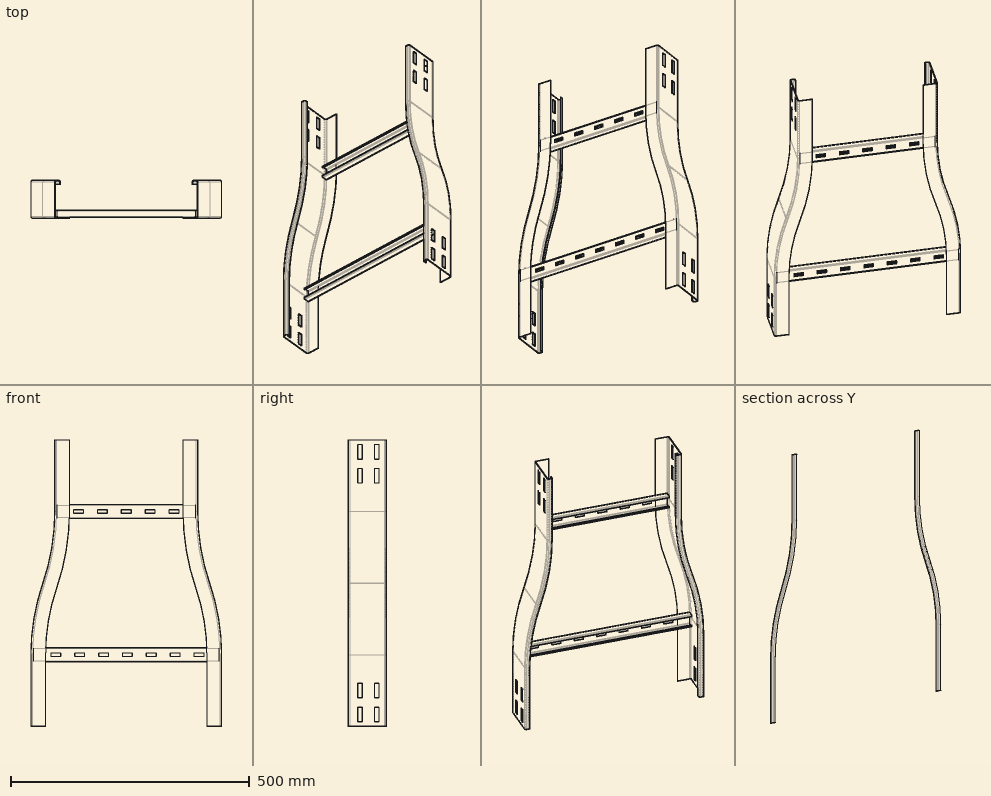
import cadquery as cq

height = 600.0
bottom_width = height * 2 / 3
top_width = height / 2
depth = bottom_width / 5

sheet = 2.0
rail_bend = 4.0
rung_bend = 2.15

front_flange = 31.0
rear_lip = 12.0
hook = 9.0

bend_start = height / 4
bend_middle = height / 2
bend_end = height - bend_start
inset = (bottom_width - top_width) / 2

web_slot_length = 30.0
web_slot_width = 9.0
web_slot_rows = (-15.0, 20.0)
web_slot_end = height / 24
web_slot_pitch = height / 12

rung_height = 30.0
rung_depth = 15.0
rung_lip = 5.0
rung_end_gap = 5.2
rung_slot_pitch = height / 12
rung_slot_length = rung_slot_pitch * 2 / 5
rung_slot_height = 6.5
upper_slot_count = 5
lower_slot_count = 7
lower_slot_shift = 2.5

front_face = -depth / 2
rung_front = front_face + sheet


def rounded_run(sketch, corners, radius):
    """Draw on to corners[1:], rounding every right-angled corner between the two ends."""
    for before, corner, after in zip(corners, corners[1:], corners[2:]):
        arc_start = corner - (corner - before).normalized() * radius
        arc_end = corner + (after - corner).normalized() * radius
        sketch = sketch.lineTo(arc_start.x, arc_start.y)
        sketch = sketch.tangentArcPoint((arc_end.x, arc_end.y), relative=False)
    return sketch.lineTo(corners[-1].x, corners[-1].y)


def bent_strip(plane, outer_points, bend_radius):
    """Closed section of a sheet whose outer face turns right at each inner point."""
    outer = [cq.Vector(x, y) for x, y in outer_points]
    runs = [(end - start).normalized() for start, end in zip(outer, outer[1:])]
    inward = [cq.Vector(run.y, -run.x) * sheet for run in runs]
    inner = [outer[0] + inward[0]]
    for corner, side_before, side_after in zip(outer[1:], inward, inward[1:]):
        inner.append(corner + side_before + side_after)
    inner.append(outer[-1] + inward[-1])
    inner.reverse()

    section = cq.Workplane(plane).moveTo(outer[0].x, outer[0].y)
    section = rounded_run(section, outer, bend_radius)
    section = section.lineTo(inner[0].x, inner[0].y)
    section = rounded_run(section, inner, bend_radius - sheet)
    return section.close()


def rail_path():
    """Outer edge of the left rail, from its bottom to its top."""
    x = -bottom_width / 2
    return (
        cq.Workplane("XZ")
        .moveTo(x, 0)
        .lineTo(x, bend_start)
        .tangentArcPoint((x + inset / 2, bend_middle), relative=False)
        .tangentArcPoint((x + inset, bend_end), relative=False)
        .lineTo(x + inset, height)
    )


def web_slots():
    """Cutters for the slots at both ends of the left rail."""
    first = web_slot_end
    second = web_slot_end + web_slot_pitch
    bottom_points = [(y, z) for y in web_slot_rows for z in (first, second)]
    top_points = [(y, height - z) for y, z in bottom_points]
    return (
        cq.Workplane("YZ", origin=(-bottom_width / 2, 0, 0))
        .pushPoints(bottom_points + top_points)
        .rect(web_slot_width, web_slot_length)
        .extrude(inset + 2 * sheet)
    )


def left_rail():
    left = -bottom_width / 2
    rear_face = depth / 2
    section = bent_strip(
        "XY",
        [
            (left + front_flange, front_face),
            (left, front_face),
            (left, rear_face),
            (left + rear_lip, rear_face),
            (left + rear_lip, rear_face - hook),
        ],
        rail_bend,
    )
    return section.sweep(rail_path()).cut(web_slots())


def rung(frame_width, middle_z, slot_count, slot_shift):
    length = frame_width - 2 * rung_end_gap
    rung_rear = rung_front + rung_depth
    bottom = middle_z - rung_height / 2
    top = middle_z + rung_height / 2
    section = bent_strip(
        "YZ",
        [
            (rung_rear, bottom + rung_lip),
            (rung_rear, bottom),
            (rung_front, bottom),
            (rung_front, top),
            (rung_rear, top),
            (rung_rear, top - rung_lip),
        ],
        rung_bend,
    )
    channel = section.extrude(length / 2, both=True)
    slots = (
        cq.Workplane("XZ", origin=(slot_shift, rung_front + sheet, middle_z))
        .rarray(rung_slot_pitch, rung_height, slot_count, 1)
        .rect(rung_slot_length, rung_slot_height)
        .extrude(sheet)
    )
    return channel.cut(slots)


rail_left = left_rail()
rail_right = rail_left.mirror("YZ")
upper_rung = rung(top_width, bend_end, upper_slot_count, 0)
lower_rung = rung(bottom_width, bend_start, lower_slot_count, lower_slot_shift)

result = cq.Compound.makeCompound(
    [rail_left.val(), rail_right.val(), upper_rung.val(), lower_rung.val()]
)